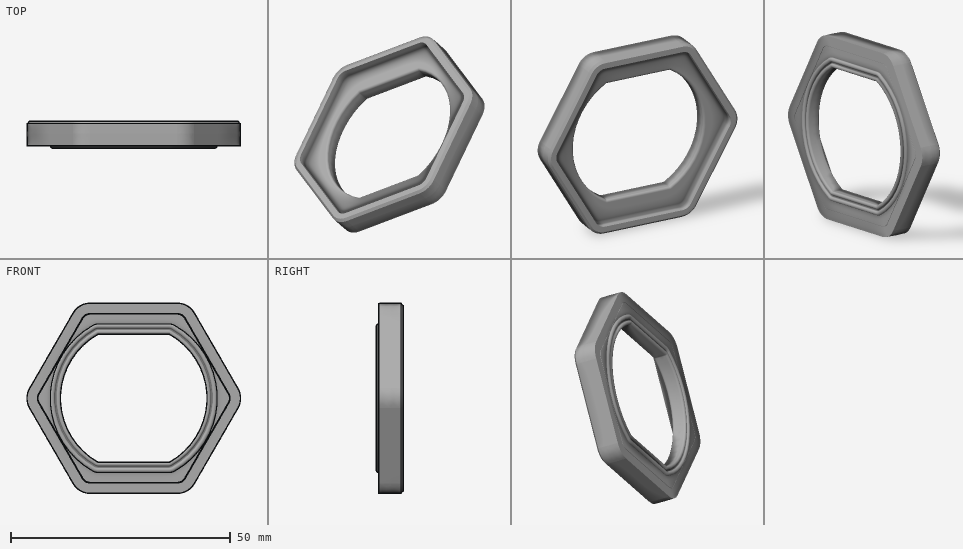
import cadquery as cq
import math

across_flats = 43.45
corner_radius = 4.5
front_depth = 2.77
back_depth = 2.87
draft_angle = 1.0
back_chamfer = 0.55

hole_radius = 16.7
hole_flat_height = 14.6
hole_corner_radius = 0.5
corner_z = hole_flat_height - hole_corner_radius
corner_x = math.sqrt((hole_radius - hole_corner_radius) ** 2 - corner_z**2)
arc_half_angle = math.degrees(math.atan2(corner_z, corner_x))

insert_depth = 3.1
insert_back_radius = 0.55
pocket_inset = 1.95
seam_inset = 2.4
seam_width = 0.14
seam_depth = 0.1

inner_bead_radius = 0.47
valley_radius = 0.18
outer_bead_radius = 0.53
valley_start = 2 * inner_bead_radius
outer_bead_start = valley_start + 2 * valley_radius

toward_front = -1
toward_back = 1

front_y = -front_depth
back_y = back_depth
insert_back_y = front_y + insert_depth


def hexagon(inset, y):
    """Rounded hexagon with flats at top and bottom, drawn on the plane at y."""
    flats = across_flats - 2 * inset
    outline = (
        cq.Sketch()
        .regularPolygon(flats / math.sqrt(3), 6, 30)
        .vertices()
        .fillet(corner_radius - inset)
    )
    return cq.Workplane("XZ", origin=(0, y, 0)).placeSketch(outline)


def nut_body():
    front = hexagon(0, 0).extrude(front_depth, taper=draft_angle)
    back = hexagon(0, 0).extrude(-back_depth, taper=draft_angle)
    back = back.faces(">Y").chamfer(back_chamfer)
    return front.union(back)


def pocket():
    """Hexagonal recess that opens at the back face and ends at the insert."""
    return hexagon(pocket_inset, back_y).extrude(back_y - insert_back_y)


def hole():
    disc = cq.Workplane("XZ", origin=(0, insert_back_y, 0)).circle(hole_radius).extrude(insert_depth)
    flats = cq.Workplane("XY").box(2 * hole_radius, 2 * across_flats, 2 * hole_flat_height)
    return disc.intersect(flats).edges("|Y").fillet(hole_corner_radius)


def seam():
    """Shallow hexagonal groove in the front face, around the insert."""
    floor_y = front_y + seam_depth
    outer = hexagon(seam_inset, floor_y).extrude(seam_depth)
    inner = hexagon(seam_inset + seam_width, floor_y).extrude(seam_depth)
    return outer.cut(inner)


def half_disc(plane, start, radius, side):
    """Half disc whose straight edge runs along the local x axis, outward from start."""
    return (
        plane.moveTo(start, 0)
        .threePointArc((start + radius, side * radius), (start + 2 * radius, 0))
        .close()
    )


def straight_run(start, radius, side):
    """Half-round bar along the top flat."""
    plane = cq.Workplane(
        cq.Plane((corner_x, front_y, hole_flat_height), xDir=(0, 0, 1), normal=(-1, 0, 0))
    )
    return half_disc(plane, start, radius, side).extrude(2 * corner_x)


def turned_run(start, radius, side, sweep):
    """Half-round bar turned about the Y axis, starting at +X and rising toward +Z."""
    plane = cq.Workplane("XY", origin=(0, front_y, 0))
    return half_disc(plane, start, radius, side).revolve(sweep, (0, 0, 0), (0, -1, 0))


def rim_bar(start, radius, side):
    """Half-round bar all round the hole, beginning at a distance start from its edge."""
    origin = (0, 0, 0)
    y_axis = (0, 1, 0)
    arc = turned_run(hole_radius + start, radius, side, 2 * arc_half_angle)
    arc = arc.rotate(origin, y_axis, arc_half_angle)
    corner = turned_run(hole_corner_radius + start, radius, side, 90 - arc_half_angle)
    corner = corner.rotate(origin, y_axis, -arc_half_angle).translate((corner_x, 0, corner_z))
    upper_run = straight_run(start, radius, side).union(corner).union(corner.mirror("YZ"))
    return arc.union(upper_run).union(arc.mirror("YZ")).union(upper_run.mirror("XY"))


def round_insert_back(body):
    """Round the back edge of the hole, where it meets the floor of the pocket."""
    reach = hole_radius + insert_back_radius
    slack = insert_back_radius / 2
    edge_zone = cq.selectors.BoxSelector(
        (-reach, insert_back_y - slack, -reach), (reach, insert_back_y + slack, reach)
    )
    return body.edges(edge_zone).fillet(insert_back_radius)


result = nut_body().cut(pocket()).cut(hole())
result = round_insert_back(result)
result = result.cut(seam())
result = result.union(rim_bar(0, inner_bead_radius, toward_front))
result = result.cut(rim_bar(valley_start, valley_radius, toward_back))
result = result.union(rim_bar(outer_bead_start, outer_bead_radius, toward_front))